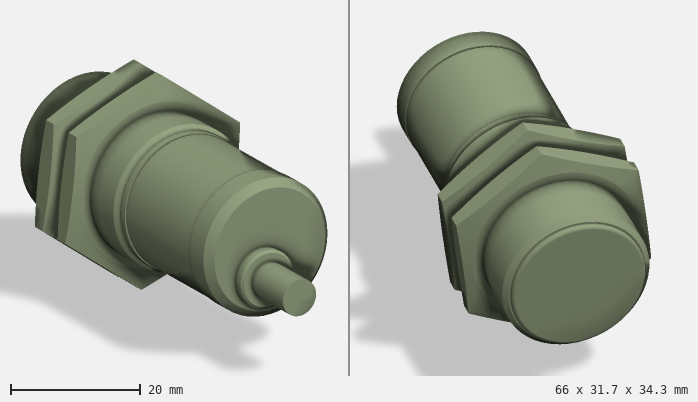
import cadquery as cq

total_length = 66.05

face_diameter = 21.7
face_end = 0.9
face_rounding = 0.5

body_diameter = 24.0
body_end = 29.5
body_chamfer = 0.8

collar_diameter = 22.5
collar_end = 30.9
barrel_diameter = 22.2
cap_start = 49.9
cap_end = 54.95
cap_chamfer = 1.25
groove_diameter = 21.7
groove_width = 0.25

nut_across_flats = 29.9
nut_width = 4.15
nut_starts = (11.15, 17.75)
nut_face_diameter = 26.95
nut_corner_inset = 1.0
nut_tilt = 6.8
nut_corner_radius = nut_across_flats / 3**0.5

outlet_y = -1.5
outlet_z = -4.1
gland_diameter = 9.6
gland_end = 56.9
gland_chamfer = 0.4
cable_diameter = 6.0


def turned(profile):
    """Revolve (x, radius) points, closed along the axis, about X."""
    points = [(profile[0][0], 0)] + profile + [(profile[-1][0], 0)]
    return cq.Workplane("XY").polyline(points).close().revolve(360, (0, 0), (1, 0))


def cylinder_x(start, end, diameter, y=0, z=0):
    """Round bar along X."""
    return (
        cq.Workplane("YZ", origin=(start, y, z))
        .circle(diameter / 2)
        .extrude(end - start)
    )


def lock_nut(start):
    """Hexagon nut with both faces cut back conically towards the corners."""
    end = start + nut_width
    hexagon = (
        cq.Workplane("YZ", origin=(start, 0, 0))
        .polygon(6, 2 * nut_corner_radius)
        .extrude(nut_width)
        .rotate((0, 0, 0), (1, 0, 0), 90 - nut_tilt)
    )
    double_cone = turned([
        (start, nut_face_diameter / 2),
        (start + nut_corner_inset, nut_corner_radius),
        (end - nut_corner_inset, nut_corner_radius),
        (end, nut_face_diameter / 2),
    ])
    return hexagon.intersect(double_cone)


def housing():
    """Threaded body, collar, grooved barrel and end cap in one turned profile."""
    body_radius = body_diameter / 2
    collar_radius = collar_diameter / 2
    barrel_radius = barrel_diameter / 2
    groove_radius = groove_diameter / 2
    return turned([
        (face_end, body_radius - body_chamfer),
        (face_end + body_chamfer, body_radius),
        (body_end - body_chamfer, body_radius),
        (body_end, collar_radius),
        (collar_end, collar_radius),
        (collar_end, groove_radius),
        (collar_end + groove_width, groove_radius),
        (collar_end + groove_width, barrel_radius),
        (cap_start - groove_width, barrel_radius),
        (cap_start - groove_width, groove_radius),
        (cap_start, groove_radius),
        (cap_start, collar_radius),
        (cap_end - cap_chamfer, collar_radius),
        (cap_end, collar_radius - cap_chamfer),
    ])


face_disc = cylinder_x(0, face_end, face_diameter).faces("<X").edges().fillet(face_rounding)
gland = cylinder_x(cap_end, gland_end, gland_diameter, outlet_y, outlet_z)
gland = gland.faces(">X").edges().chamfer(gland_chamfer)
cable = cylinder_x(gland_end, total_length, cable_diameter, outlet_y, outlet_z)

result = housing().union(face_disc).union(gland).union(cable)
for nut_start in nut_starts:
    result = result.union(lock_nut(nut_start))